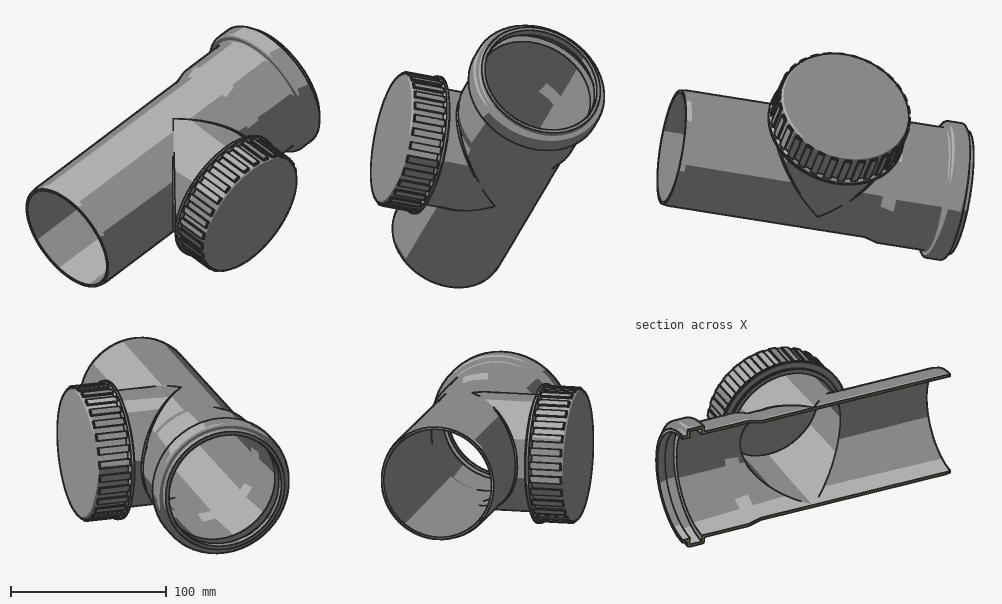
import cadquery as cq
import math

length = 190.0
overall_width = 115.0

wall = 2.0
pipe_radius = 75.2 / 2
spigot_chamfer_length = 3.6
spigot_chamfer_depth = 0.5

socket_radius = 80.0 / 2
cone_start = 134.3
cone_end = 142.9
mouth_radius = 80.4 / 2
bead_radius = 89.1 / 2
bead_start = 174.5
bead_end = 186.8
bead_round = 1.9
bead_root_fillet = 1.1

branch_y = 96.9
neck_radius = 81.0 / 2
neck_start = 44.0

crotch_setback = 1.1

cap_start = 45.8
cap_end = overall_width - bead_radius
cap_radius = 85.0 / 2
cap_end_round = 1.7
flange_radius = 89.7 / 2
flange_thickness = 1.7
flange_taper_length = 1.5
end_wall = wall

rib_count = 30
rib_pitch = 360 / rib_count
rib_phase = 2.7
rib_radius = 87.4 / 2
rib_end_chamfer = 0.5

bore_radius = pipe_radius - wall
neck_end = cap_end - end_wall


def rod_along_x(radius, start, end):
    """Solid cylinder on the branch axis between two X positions."""
    plane = cq.Workplane("YZ", origin=(start, branch_y, 0))
    return plane.circle(radius).extrude(end - start)


def pipe_envelope():
    """Main pipe with its socket and bead, still solid inside."""
    profile = (
        cq.Workplane("XY")
        .lineTo(pipe_radius - spigot_chamfer_depth, 0)
        .lineTo(pipe_radius, spigot_chamfer_length)
        .lineTo(pipe_radius, cone_start)
        .lineTo(socket_radius, cone_end)
        .lineTo(socket_radius, bead_start - bead_root_fillet)
        .radiusArc((socket_radius + bead_root_fillet, bead_start), bead_root_fillet)
        .lineTo(bead_radius - bead_round, bead_start)
        .radiusArc((bead_radius, bead_start + bead_round), -bead_round)
        .lineTo(bead_radius, bead_end - bead_round)
        .radiusArc((bead_radius - bead_round, bead_end), -bead_round)
        .lineTo(mouth_radius + bead_root_fillet, bead_end)
        .radiusArc((mouth_radius, bead_end + bead_root_fillet), bead_root_fillet)
        .lineTo(mouth_radius, length)
        .lineTo(0, length)
        .close()
    )
    return profile.revolve(360, (0, 0, 0), (0, 1, 0))


def pipe_cavity():
    """Bore, socket and seal groove, one wall thickness inside the envelope."""
    profile = (
        cq.Workplane("XY")
        .lineTo(bore_radius, 0)
        .lineTo(bore_radius, cone_start)
        .lineTo(socket_radius - wall, cone_end)
        .lineTo(socket_radius - wall, bead_start + wall)
        .lineTo(bead_radius - wall, bead_start + wall)
        .lineTo(bead_radius - wall, bead_end - wall)
        .lineTo(socket_radius - wall, bead_end - wall)
        .lineTo(socket_radius - wall, length)
        .lineTo(0, length)
        .close()
    )
    return profile.revolve(360, (0, 0, 0), (0, 1, 0))


def crotch_wedge(side):
    """Weld wedge in the corner between pipe and branch, on the +Y or -Y side of the branch.

    It is an elliptic rod across the corner at 45 degrees, kept only inside the corner,
    so the weld fades to nothing where the two tubes cross at the top and bottom.
    """
    plane = cq.Plane(origin=(0, branch_y, 0), xDir=(1, side, 0), normal=(1, -side, 0))
    half_span = (2 * pipe_radius + crotch_setback) / math.sqrt(2)
    reach = 2 * pipe_radius
    rod = cq.Workplane(plane).ellipse(half_span, pipe_radius).extrude(reach, both=True)
    side_length = pipe_radius + crotch_setback
    corner = cq.Workplane("XY").box(side_length, side_length, reach, centered=(False, False, True))
    if side < 0:
        corner = corner.mirror("XZ")
    return rod.intersect(corner.translate((0, branch_y, 0)))


def make_tee():
    """Pipe and branch as one body, open at the spigot, the socket and the neck."""
    branch = rod_along_x(pipe_radius, 0, neck_start)
    neck = rod_along_x(neck_radius, neck_start, neck_end)
    branch_bore = rod_along_x(bore_radius, 0, neck_end)
    envelope = pipe_envelope().union(branch).union(neck)
    for side in (1, -1):
        envelope = envelope.union(crotch_wedge(side))
    return envelope.cut(pipe_cavity()).cut(branch_bore)


def rib_ring():
    """Grip ribs, as sectors of a ring whose outer +X edge is chamfered."""
    start = cap_start + flange_thickness
    end = cap_end - cap_end_round
    ring = rod_along_x(rib_radius, start, end).faces(">X").edges().chamfer(rib_end_chamfer)
    ring = ring.cut(rod_along_x(neck_radius, start, end))

    reach = 2 * rib_radius
    half_width = reach * math.tan(math.radians(rib_pitch / 4))
    wedges = cq.Workplane("YZ")
    for i in range(rib_count):
        wedge = (
            cq.Workplane("YZ", origin=(start, branch_y, 0))
            .polyline([(0, 0), (-reach, -half_width), (-reach, half_width)])
            .close()
            .extrude(end - start)
        )
        angle = -(rib_phase + i * rib_pitch)
        wedges.add(wedge.rotate((0, branch_y, 0), (1, branch_y, 0), angle))
    return ring.intersect(wedges.combine())


def make_cap():
    """Closed cap with a flange, a tapered flange back and grip ribs."""
    taper_start = cap_start + flange_thickness
    profile = (
        cq.Workplane("XY")
        .moveTo(cap_start, branch_y)
        .lineTo(cap_start, branch_y + flange_radius)
        .lineTo(taper_start, branch_y + flange_radius)
        .lineTo(taper_start + flange_taper_length, branch_y + cap_radius)
        .lineTo(cap_end - cap_end_round, branch_y + cap_radius)
        .radiusArc((cap_end, branch_y + cap_radius - cap_end_round), cap_end_round)
        .lineTo(cap_end, branch_y)
        .close()
    )
    body = profile.revolve(360, (0, branch_y, 0), (1, branch_y, 0))
    return body.union(rib_ring()).cut(rod_along_x(neck_radius, cap_start, neck_end))


tee = make_tee()
cap = make_cap()

result = cq.Compound.makeCompound([tee.solids().val(), cap.solids().val()])